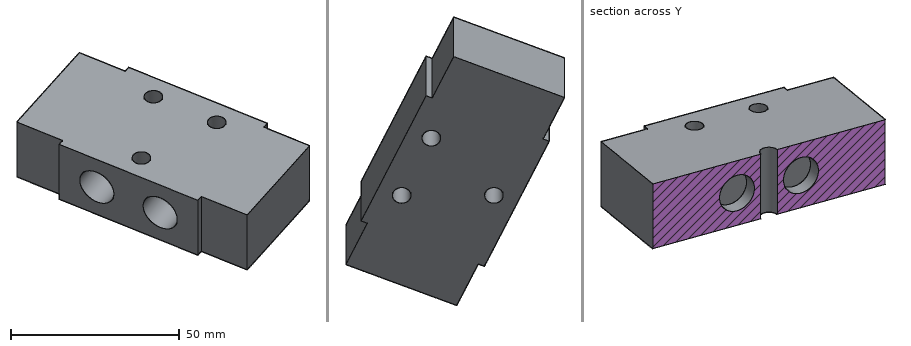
import cadquery as cq

length = 80.0
width = 40.0
height = 22.0

body_length = 48.2
end_width = 36.0

port_diameter = 11.8
port_depth = 12.0
port_spacing = 22.0
mount_diameter = 5.5
mount_row_spacing = 25.1

end_block = cq.Workplane("XY").box(length, end_width, height)
central_body = cq.Workplane("XY").box(body_length, width, height)
block = end_block.union(central_body)

ports = (
    cq.Workplane("XZ", origin=(0, -width / 2, 0))
    .pushPoints([(-port_spacing / 2, 0), (port_spacing / 2, 0)])
    .circle(port_diameter / 2)
    .extrude(-port_depth)
)

mount_points = [
    (-port_spacing / 2, mount_row_spacing / 2),
    (port_spacing / 2, mount_row_spacing / 2),
    (0, -mount_row_spacing / 2),
]
mount_holes = (
    cq.Workplane("XY", origin=(0, 0, -height / 2))
    .pushPoints(mount_points)
    .circle(mount_diameter / 2)
    .extrude(height)
)

result = block.cut(ports).cut(mount_holes)